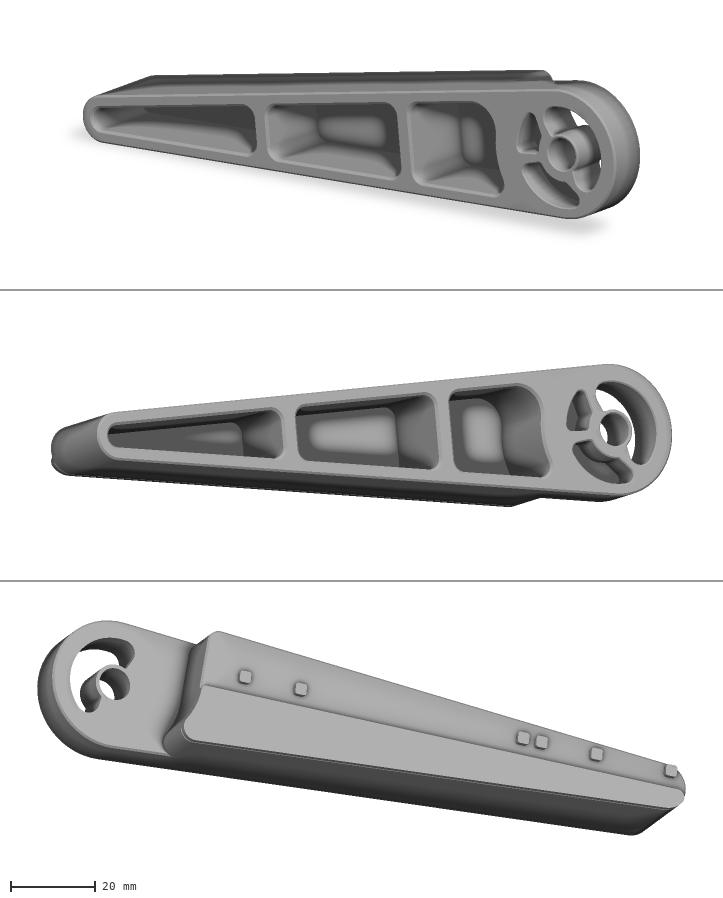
import cadquery as cq
import math

pivot_end_radius = 15.9
tip_end_radius = 5.8
length = 157.2
span_x = length - pivot_end_radius - tip_end_radius
span_z = 13.5
span = math.hypot(span_x, span_z)
half_taper = math.asin((pivot_end_radius - tip_end_radius) / span)
half_taper_degrees = math.degrees(half_taper)

arm_thickness = 10.5
body_thickness = 23.1
rail_height = 1.4
floor_thickness = 3.5
window_depth = body_thickness - floor_thickness
pocket_depth = arm_thickness - floor_thickness
edge_chamfer = 0.5
window_chamfer = 0.6
opening_chamfer = 0.3

clearance_radius = 17.0
body_end_fillet = 3.1

window_wall = 3.1
window_end_radius = 20.0
window_fillet = 2.8
window_top_fillet = 6.3
first_rib_station = -89.0
second_rib_station = -46.5
rib_width = 4.1

pivot_hole_radius = 4.0
pivot_tube_radius = 4.9
slot_outer_radius = 11.5
slot_inner_angles = (-52, 120)
slot_outer_angles = (-67, 119)
slot_inner_fillet = 0.6
slot_outer_fillet = 3.0
pocket_inner_radius = 6.9
pocket_outer_radius = 13.0
upper_pocket_inner_angles = (145, 181)
upper_pocket_outer_angles = (126, 181)
lower_pocket_inner_angles = (200, 274)
lower_pocket_outer_angles = (195, 296)
pocket_inner_fillet = 1.0
upper_pocket_outer_fillet = 1.4
lower_pocket_outer_fillet = 1.9

rail_top_offset = -0.55
rail_tip_fillet = 1.9
rail_end_fillet = 1.0
dot_size = 2.8
dot_fillet = 0.6
dot_offset = 3.8
dot_stations = [-137.2, -118.0, -103.9, -99.2, -42.0, -27.7]

reach = 2 * span

touching = 1.57e-06


def arm_plane(y):
    """Plane at depth y centred on the pivot, facing -Y, with x running from the tip to the pivot."""
    return cq.Workplane(cq.Plane(origin=(0, y, 0), xDir=(span_x, 0, span_z), normal=(0, -1, 0)))


def polar(radius, degrees):
    """Point at a radius and angle about the pivot."""
    angle = math.radians(degrees)
    return (radius * math.cos(angle), radius * math.sin(angle))


def part_point(point, y):
    """Convert a point on the arm plane at depth y into part coordinates."""
    return arm_plane(y).plane.toWorldCoords(point).toTuple()


def slab(profile, depth):
    """Extrude a profile towards +Y."""
    return profile.extrude(-depth)


def tapered_solid(y, depth, inset=0):
    """Arm outline, shrunk by an inset, as a solid of the given depth."""
    big = pivot_end_radius - inset
    small = tip_end_radius - inset
    lean = 90 + half_taper_degrees
    big_x, big_y = polar(big, lean)
    small_x, small_y = polar(small, lean)
    small_x -= span
    outline = (
        arm_plane(y)
        .moveTo(small_x, small_y)
        .lineTo(big_x, big_y)
        .threePointArc((big, 0), (big_x, -big_y))
        .lineTo(small_x, -small_y)
        .threePointArc((-span - small, 0), (small_x, small_y))
        .close()
    )
    return slab(outline, depth)


def band(y, depth, start, end, top=reach):
    """Block between two stations, unbounded below and limited above by an offset from the axis."""
    outline = arm_plane(y).moveTo(start, -reach).lineTo(end, -reach).lineTo(end, top).lineTo(start, top)
    return slab(outline.close(), depth)


def disc(y, depth, radius):
    """Cylinder about the pivot."""
    return slab(arm_plane(y).circle(radius), depth)


def fillet_corner(solid, point, y, radius):
    """Round the edge parallel to Y that lies nearest to a point of the arm plane."""
    nearest = cq.selectors.NearestToPointSelector(part_point(point, y))
    return solid.edges("|Y").edges(nearest).fillet(radius)


def edge_offset(station, inset=0):
    """Distance from the axis to the straight outline edges at a station."""
    return (pivot_end_radius - inset + station * math.sin(half_taper)) / math.cos(half_taper)


def outline_crossing(radius, inset=0):
    """Point left of the pivot where the lower outline meets a circle about the pivot."""
    swing = math.degrees(math.acos((pivot_end_radius - inset) / radius))
    return polar(radius, -90 - half_taper_degrees - swing)


def body_solid(y, depth):
    """Thick body: straight end square to the upper edge, tangent to a clearance arc below."""
    upper_space = arm_plane(y).transformed(rotate=(0, 0, half_taper_degrees)).moveTo(-clearance_radius, 0)
    upper_space = upper_space.lineTo(reach, 0).lineTo(reach, reach).lineTo(-clearance_radius, reach).close()
    return tapered_solid(y, depth).cut(disc(y, depth, clearance_radius)).cut(slab(upper_space, depth))


def rounded_body(y, depth):
    """Thick body with its two end corners rounded."""
    middle = y + depth / 2
    corner_lean = math.degrees(math.atan2(pivot_end_radius, clearance_radius))
    top_corner = polar(math.hypot(clearance_radius, pivot_end_radius), 180 + half_taper_degrees - corner_lean)
    body = body_solid(y, depth)
    body = fillet_corner(body, top_corner, middle, body_end_fillet)
    return fillet_corner(body, outline_crossing(clearance_radius), middle, body_end_fillet)


def window_cutter(start, end):
    """Sharp-cornered window between two stations, a wall's width inside the outline."""
    return tapered_solid(0, window_depth, window_wall).intersect(band(0, window_depth, start, end))


def rounded_at(cutter, station):
    """Round both corners of a window at a station."""
    for side in (1, -1):
        corner = (station, side * edge_offset(station, window_wall))
        cutter = fillet_corner(cutter, corner, window_depth / 2, window_fillet)
    return cutter


def window_cutters():
    """The three windows, from the tip to the pivot."""
    half_rib = rib_width / 2
    tip_end = first_rib_station - half_rib
    middle_start = first_rib_station + half_rib
    middle_end = second_rib_station - half_rib
    last_start = second_rib_station + half_rib

    tip_window = rounded_at(window_cutter(-reach, tip_end), tip_end)

    middle_window = window_cutter(middle_start, middle_end)
    for station in (middle_start, middle_end):
        middle_window = rounded_at(middle_window, station)

    last_window = window_cutter(last_start, 0).cut(disc(0, window_depth, window_end_radius))
    last_window = rounded_at(last_window, last_start)
    low_corner = outline_crossing(window_end_radius, window_wall)
    high_corner = (low_corner[0], -low_corner[1])
    last_window = fillet_corner(last_window, high_corner, window_depth / 2, window_top_fillet)
    last_window = fillet_corner(last_window, low_corner, window_depth / 2, window_fillet)
    return [tip_window, middle_window, last_window]


def ring_opening(depth, inner_radius, outer_radius, inner_angles, outer_angles, inner_fillet, outer_fillet):
    """Rounded opening between two circles about the pivot, its ends running between the given angles."""
    inner_start, inner_end = inner_angles
    outer_start, outer_end = outer_angles
    outline = (
        arm_plane(0)
        .moveTo(*polar(inner_radius, inner_start))
        .lineTo(*polar(outer_radius, outer_start))
        .threePointArc(polar(outer_radius, (outer_start + outer_end) / 2), polar(outer_radius, outer_end))
        .lineTo(*polar(inner_radius, inner_end))
        .threePointArc(polar(inner_radius, (inner_start + inner_end) / 2), polar(inner_radius, inner_start))
        .close()
    )
    cutter = slab(outline, depth)
    for angle in outer_angles:
        cutter = fillet_corner(cutter, polar(outer_radius, angle), depth / 2, outer_fillet)
    for angle in inner_angles:
        cutter = fillet_corner(cutter, polar(inner_radius, angle), depth / 2, inner_fillet)
    return cutter


def rail():
    """Rail along the lower edge of the back face."""
    solid = rounded_body(body_thickness, rail_height)
    solid = solid.intersect(band(body_thickness, rail_height, -reach, 0, top=rail_top_offset))
    middle = body_thickness + rail_height / 2
    tip_x = -span - math.sqrt(tip_end_radius**2 - rail_top_offset**2)
    end_x = -math.sqrt(clearance_radius**2 - rail_top_offset**2)
    solid = fillet_corner(solid, (tip_x, rail_top_offset), middle, rail_tip_fillet)
    return fillet_corner(solid, (end_x, rail_top_offset), middle, rail_end_fillet)


def rail_end_root():
    """Fill of the body's edge chamfer where the rail runs out flush with the clearance arc."""
    y = body_thickness - edge_chamfer
    root_reach = clearance_radius + 2 * edge_chamfer
    root = rounded_body(y, edge_chamfer).intersect(band(y, edge_chamfer, -reach, 0, top=rail_top_offset))
    return root.intersect(disc(y, edge_chamfer, root_reach))


def dots():
    """Small raised squares above the rail."""
    places = [(station, dot_offset) for station in dot_stations]
    squares = arm_plane(body_thickness).pushPoints(places).rect(dot_size, dot_size)
    return slab(squares, rail_height).edges("|Y").fillet(dot_fillet)


def cut_with_rim(part, cutter, chamfer):
    """Cut an opening into the front face and chamfer its rim."""
    pocketed = part.cut(cutter)
    front = cutter.faces("<Y").val()
    rim = [
        edge
        for edge in pocketed.faces("<Y").edges().vals()
        if front.distance(edge) < touching
    ]
    return pocketed.newObject(rim).chamfer(chamfer)


arm = tapered_solid(0, arm_thickness).faces("<Y or >Y").chamfer(edge_chamfer)
body = rounded_body(0, body_thickness).faces("<Y or >Y").chamfer(edge_chamfer)
result = arm.union(body).union(rail()).union(rail_end_root()).union(dots())
for window in window_cutters():
    result = cut_with_rim(result, window, window_chamfer)

pivot_hole = disc(0, arm_thickness, pivot_hole_radius)
slot = ring_opening(
    arm_thickness,
    pivot_tube_radius,
    slot_outer_radius,
    slot_inner_angles,
    slot_outer_angles,
    slot_inner_fillet,
    slot_outer_fillet,
)
upper_pocket = ring_opening(
    pocket_depth,
    pocket_inner_radius,
    pocket_outer_radius,
    upper_pocket_inner_angles,
    upper_pocket_outer_angles,
    pocket_inner_fillet,
    upper_pocket_outer_fillet,
)
lower_pocket = ring_opening(
    pocket_depth,
    pocket_inner_radius,
    pocket_outer_radius,
    lower_pocket_inner_angles,
    lower_pocket_outer_angles,
    pocket_inner_fillet,
    lower_pocket_outer_fillet,
)
for opening in (pivot_hole, slot, upper_pocket, lower_pocket):
    result = cut_with_rim(result, opening, opening_chamfer)